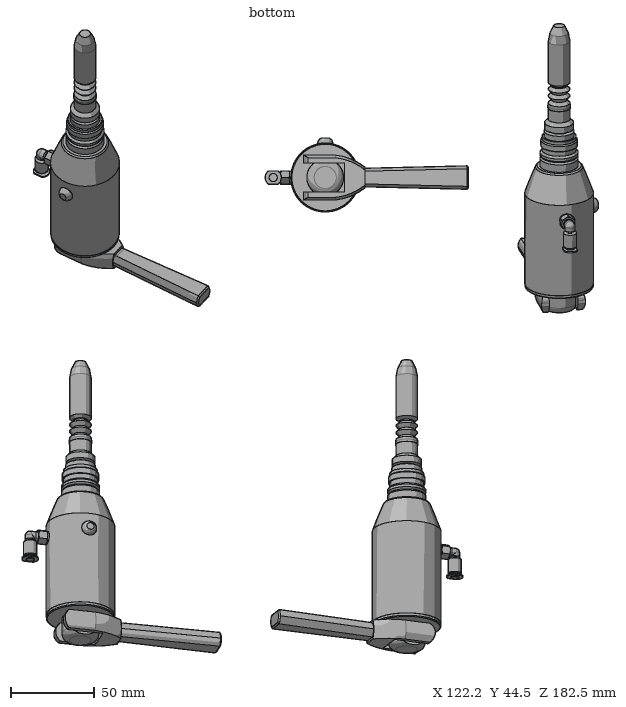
import cadquery as cq
import math

BARREL_R = 41.5 / 2
BARREL_BOTTOM = 14.2
BARREL_EDGE = 0.5
RIM_LINE_Z = 16.2
RIM_STEP = 0.2
SHOULDER_Z = 74.6
SHOULDER_TOP_Z = 92.3
SHOULDER_TOP_R = 28.5 / 2
SHOULDER_LIP = 1.0
SHOULDER_BULGE = 0.2

SEAT_R = 23.0 / 2
GROOVE_R = 21.2 / 2
SLEEVE_R = 20.5 / 2
SLEEVE_RING_R = 22.0 / 2
UPPER_RING_R = 18.0 / 2
UNDERCUT_R = 11.1 / 2
COLLAR_R = 17.5 / 2
STEM_R = 13.1 / 2
STEM_RING_R = 13.7 / 2
BELLOWS_ROOT_R = 9.1 / 2
NOSE_R = 11.1 / 2
TIP_R = 6.5 / 2
TOP_Z = 182.5

SPINDLE = [
    (SEAT_R, SHOULDER_TOP_Z), (SEAT_R, 97.0),
    (GROOVE_R, 98.2), (SEAT_R, 99.3),
    (SEAT_R, 100.9), (SLEEVE_R, 102.2),
    (SLEEVE_R, 105.3), (SLEEVE_RING_R, 105.3),
    (SLEEVE_RING_R, 108.7), (SLEEVE_R, 109.5),
    (SLEEVE_R, 111.3), (UPPER_RING_R, 111.3),
    (UPPER_RING_R, 114.5), (UNDERCUT_R, 114.5),
    (UNDERCUT_R, 116.2), (COLLAR_R, 116.2),
    (COLLAR_R, 120.0), (STEM_R, 122.2),
    (STEM_R, 129.5), (STEM_RING_R, 129.5), (STEM_RING_R, 131.0),
    (STEM_R, 132.6), (BELLOWS_ROOT_R, 134.7),
    (STEM_R, 137.2), (BELLOWS_ROOT_R, 139.2),
    (STEM_R, 141.5), (BELLOWS_ROOT_R, 143.6), (BELLOWS_ROOT_R, 144.3),
    (STEM_R, 146.0),
    (STEM_R, 172.5), (NOSE_R, 177.7), (TIP_R, TOP_Z),
]


def make_body():
    rise = SHOULDER_TOP_Z - SHOULDER_LIP - SHOULDER_Z
    run = BARREL_R - SHOULDER_TOP_R
    slant = math.hypot(rise, run)
    bow_mid = (
        (BARREL_R + SHOULDER_TOP_R) / 2 + SHOULDER_BULGE * rise / slant,
        SHOULDER_Z + rise / 2 + SHOULDER_BULGE * run / slant,
    )
    rim_r = BARREL_R - RIM_STEP
    outline = (
        cq.Workplane("XZ")
        .moveTo(0, BARREL_BOTTOM)
        .lineTo(rim_r - BARREL_EDGE, BARREL_BOTTOM)
        .lineTo(rim_r, BARREL_BOTTOM + BARREL_EDGE)
        .lineTo(rim_r, RIM_LINE_Z)
        .lineTo(BARREL_R, RIM_LINE_Z)
        .lineTo(BARREL_R, SHOULDER_Z)
        .threePointArc(bow_mid, (SHOULDER_TOP_R, SHOULDER_TOP_Z - SHOULDER_LIP))
        .lineTo(SHOULDER_TOP_R - SHOULDER_LIP, SHOULDER_TOP_Z)
    )
    for radius, z in SPINDLE:
        outline = outline.lineTo(radius, z)
    return outline.lineTo(0, TOP_Z).close().revolve(360, (0, 0), (0, 1))


BOSS_R = 22.0 / 2
BOSS_FLAT_Y = 17.5 / 2
BOSS_ROUND = 4.4


def make_boss():
    boss = cq.Workplane("XY").circle(BOSS_R).extrude(BARREL_BOTTOM)
    boss = boss.faces("<Z").edges().fillet(BOSS_ROUND)
    flats = cq.Workplane("XY").rect(2 * BOSS_R, 2 * BOSS_FLAT_Y).extrude(BARREL_BOTTOM)
    return boss.intersect(flats)


LEVER_MID_Z = 8.2
ARC_SHARE = 0.3
HEAD_HEIGHT = 12.0
HEAD_HALF_Y = 13.5
FLANK_BOW = 1.6
HEAD_START_X = -13.0
HEAD_END_BOW = 2.7
HEAD_END_FLAT = 2.2
HEAD_TAPER_X = 6.0
HEAD_SHOULDER_X = 17.9
HEAD_SHOULDER_HALF_Y = 10.0
HEAD_END_X = 23.9
NECK_HALF_Y = 6.2
FORK_SLOT_END_X = 11.5

HANDLE_END_X = 86.0
HANDLE_END_HALF_Y = 7.1
HANDLE_START_HALF_Y = 5.7
HANDLE_TOP_Z = 12.8
HANDLE_BOTTOM_Z = 3.6
HANDLE_FLAT_INSET = 1.8
HANDLE_END_BEVEL = 1.0
HANDLE_RAMP_LENGTH = 1.6
HANDLE_RAMP_RISE = 0.4


def head_section(x, half_y):
    """Flat top and bottom with bowed flanks, half_y wide on each side."""
    edge_y = half_y - FLANK_BOW
    top_z = LEVER_MID_Z + HEAD_HEIGHT / 2
    bottom_z = LEVER_MID_Z - HEAD_HEIGHT / 2
    return (
        cq.Workplane("YZ", origin=(x, 0, 0))
        .moveTo(-edge_y, bottom_z)
        .lineTo(edge_y, bottom_z)
        .threePointArc((half_y, LEVER_MID_Z), (edge_y, top_z))
        .lineTo(-edge_y, top_z)
        .threePointArc((-half_y, LEVER_MID_Z), (-edge_y, bottom_z))
        .close()
    )


def make_fork_end_outline():
    """Side outline of the parallel length, with its rounded and flatted end."""
    half_height = HEAD_HEIGHT / 2
    half_flat = HEAD_END_FLAT / 2
    arc_start_x = HEAD_START_X + HEAD_END_BOW
    arc_mid_x = HEAD_START_X + ARC_SHARE * HEAD_END_BOW
    arc_mid_height = (half_height + half_flat) / 2
    return (
        cq.Workplane("XZ", origin=(0, 0, LEVER_MID_Z))
        .moveTo(HEAD_TAPER_X, -half_height)
        .lineTo(arc_start_x, -half_height)
        .threePointArc((arc_mid_x, -arc_mid_height), (HEAD_START_X, -half_flat))
        .lineTo(HEAD_START_X, half_flat)
        .threePointArc((arc_mid_x, arc_mid_height), (arc_start_x, half_height))
        .lineTo(HEAD_TAPER_X, half_height)
        .close()
        .extrude(HEAD_HALF_Y, both=True)
    )


def make_lever_head():
    parallel = head_section(HEAD_START_X, HEAD_HALF_Y).extrude(HEAD_TAPER_X - HEAD_START_X)
    parallel = parallel.intersect(make_fork_end_outline())
    stations = (
        (HEAD_TAPER_X, HEAD_HALF_Y),
        (HEAD_SHOULDER_X, HEAD_SHOULDER_HALF_Y),
        (HEAD_END_X, NECK_HALF_Y),
    )
    taper = cq.Solid.makeLoft([head_section(x, half_y).wire().val() for x, half_y in stations])
    slot_length = FORK_SLOT_END_X - HEAD_START_X
    slot = (
        cq.Workplane("XY")
        .box(slot_length, 2 * BOSS_FLAT_Y, 2 * HEAD_HEIGHT)
        .translate((FORK_SLOT_END_X - slot_length / 2, 0, LEVER_MID_Z))
    )
    return parallel.union(cq.Workplane("XY").newObject([taper])).cut(slot)


def handle_section(x, half_y):
    """Flat top and bottom, bowed flanks meeting in an edge at mid height."""
    flat_y = half_y - HANDLE_FLAT_INSET
    bow_y = half_y - ARC_SHARE * HANDLE_FLAT_INSET
    upper_bow_z = (HANDLE_TOP_Z + LEVER_MID_Z) / 2
    lower_bow_z = (HANDLE_BOTTOM_Z + LEVER_MID_Z) / 2
    return (
        cq.Workplane("YZ", origin=(x, 0, 0))
        .moveTo(-flat_y, HANDLE_BOTTOM_Z)
        .lineTo(flat_y, HANDLE_BOTTOM_Z)
        .threePointArc((bow_y, lower_bow_z), (half_y, LEVER_MID_Z))
        .threePointArc((bow_y, upper_bow_z), (flat_y, HANDLE_TOP_Z))
        .lineTo(-flat_y, HANDLE_TOP_Z)
        .threePointArc((-bow_y, upper_bow_z), (-half_y, LEVER_MID_Z))
        .threePointArc((-bow_y, lower_bow_z), (-flat_y, HANDLE_BOTTOM_Z))
        .close()
        .wire()
        .val()
    )


def make_handle():
    start = handle_section(HEAD_END_X, HANDLE_START_HALF_Y)
    end = handle_section(HANDLE_END_X, HANDLE_END_HALF_Y)
    handle = cq.Workplane("XY").newObject([cq.Solid.makeLoft([start, end], True)])
    handle = handle.faces(">X").edges().chamfer(HANDLE_END_BEVEL)
    ramp = (
        cq.Workplane("XZ")
        .moveTo(HEAD_END_X, HANDLE_TOP_Z)
        .lineTo(HEAD_END_X + HANDLE_RAMP_LENGTH, HANDLE_TOP_Z)
        .lineTo(HEAD_END_X, HANDLE_TOP_Z - HANDLE_RAMP_RISE)
        .close()
        .extrude(HANDLE_START_HALF_Y, both=True)
    )
    return handle.cut(ramp)


PORT_Z = 65.0
BUTTON_R = 9.1 / 2
BUTTON_FACE_R = 4.4 / 2
OVERALL_Y = 44.5
BUTTON_FACE_Y = OVERALL_Y - BARREL_R
BUTTON_EDGE_Y = 20.8
BUTTON_DOME = (3.6, 22.8)


def make_button():
    return (
        cq.Workplane("XY")
        .lineTo(BUTTON_R, 0)
        .lineTo(BUTTON_R, -BUTTON_EDGE_Y)
        .threePointArc((BUTTON_DOME[0], -BUTTON_DOME[1]), (BUTTON_FACE_R, -BUTTON_FACE_Y))
        .lineTo(0, -BUTTON_FACE_Y)
        .close()
        .revolve(360, (0, 0), (0, 1))
        .translate((0, 0, PORT_Z))
    )


NUT_ACROSS_FLATS = 8.0
NUT_OUTER_X = -26.8
NUT_INNER_X = -21.3
NUT_BEVEL = 0.7
NUT_BEVEL_CLEARANCE = 0.2
ELBOW_X = -31.2
ELBOW_R = 6.2 / 2
ELBOW_NECK_R = 6.0 / 2
ELBOW_NECK_X = -28.3
ELBOW_BOTTOM_Z = 62.4
SWIVEL_R = 1.1
TUBE_STEM_R = 5.0 / 2
TUBE_STEM_BOTTOM_Z = 49.3
SOCKET_R = 8.0 / 2
SOCKET_TOP_Z = 60.8
SOCKET_BEVEL = 0.5
SOCKET_BOTTOM_Z = 51.6
FLANGE_LENGTH = 9.9
FLANGE_WIDTH = 8.0
FLANGE_BOTTOM_Z = 49.8
FLANGE_THICKNESS = 0.7


def make_nut():
    corner_r = NUT_ACROSS_FLATS / math.sqrt(3)
    length = NUT_INNER_X - NUT_OUTER_X
    hexagon = (
        cq.Workplane("YZ", origin=(NUT_OUTER_X, 0, PORT_Z))
        .transformed(rotate=(0, 0, 90))
        .polygon(6, 2 * corner_r)
        .extrude(length)
    )
    turned = (
        cq.Workplane("YZ", origin=(NUT_OUTER_X, 0, PORT_Z))
        .circle(corner_r + NUT_BEVEL_CLEARANCE)
        .extrude(length)
        .edges()
        .chamfer(NUT_BEVEL)
    )
    stub = (
        cq.Workplane("YZ", origin=(NUT_INNER_X, 0, PORT_Z))
        .circle(NUT_ACROSS_FLATS / 2)
        .extrude(-NUT_INNER_X)
    )
    return hexagon.intersect(turned).union(stub)


def make_down_leg():
    """Domed elbow leg, tube stem and bevelled socket, turned about a vertical axis."""
    dome_side = ELBOW_R * math.sqrt(0.5)
    return (
        cq.Workplane("XZ")
        .moveTo(0, TUBE_STEM_BOTTOM_Z)
        .lineTo(TUBE_STEM_R, TUBE_STEM_BOTTOM_Z)
        .lineTo(TUBE_STEM_R, SOCKET_BOTTOM_Z)
        .lineTo(SOCKET_R - SOCKET_BEVEL, SOCKET_BOTTOM_Z)
        .lineTo(SOCKET_R, SOCKET_BOTTOM_Z + SOCKET_BEVEL)
        .lineTo(SOCKET_R, SOCKET_TOP_Z)
        .lineTo(SWIVEL_R, SOCKET_TOP_Z)
        .lineTo(SWIVEL_R, ELBOW_BOTTOM_Z)
        .lineTo(ELBOW_R, ELBOW_BOTTOM_Z)
        .lineTo(ELBOW_R, PORT_Z)
        .threePointArc((dome_side, PORT_Z + dome_side), (0, PORT_Z + ELBOW_R))
        .close()
        .revolve(360, (0, 0), (0, 1))
        .translate((ELBOW_X, 0, 0))
    )


def make_flange():
    """Release ring: a disc with two flats."""
    disc = (
        cq.Workplane("XY", origin=(ELBOW_X, 0, FLANGE_BOTTOM_Z))
        .circle(FLANGE_LENGTH / 2)
        .extrude(FLANGE_THICKNESS)
    )
    flats = (
        cq.Workplane("XY", origin=(ELBOW_X, 0, FLANGE_BOTTOM_Z))
        .rect(FLANGE_LENGTH, FLANGE_WIDTH)
        .extrude(FLANGE_THICKNESS)
    )
    return disc.intersect(flats)


def make_fitting():
    level_leg = (
        cq.Workplane("YZ", origin=(ELBOW_X, 0, PORT_Z))
        .circle(ELBOW_R)
        .extrude(ELBOW_NECK_X - ELBOW_X)
        .faces(">X")
        .workplane()
        .circle(ELBOW_NECK_R)
        .extrude(NUT_OUTER_X - ELBOW_NECK_X)
    )
    return make_down_leg().union(level_leg).union(make_flange()).union(make_nut())


result = make_body()
for part in (make_boss(), make_lever_head(), make_handle(), make_button(), make_fitting()):
    result = result.union(part)